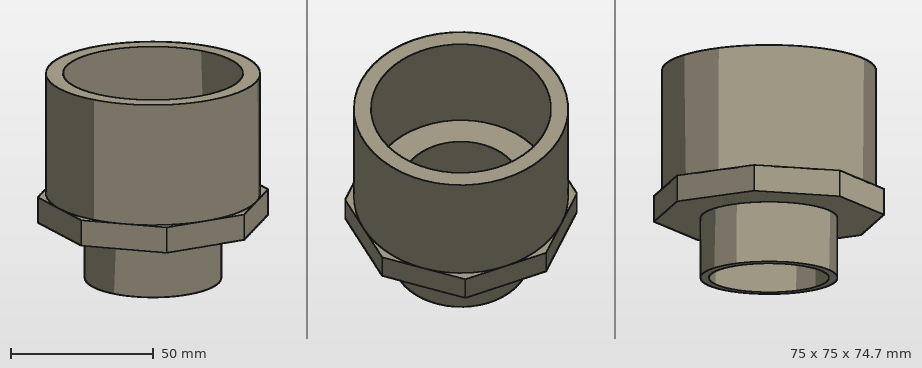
import cadquery as cq

total_height = 74.7
across_flats = 75.0

spigot_diameter = 48.0
spigot_length = 21.45
bore_diameter = 42.0

collar_sides = 8
collar_height = 9.3

socket_outer_diameter = across_flats
socket_inner_diameter = 63.0
socket_depth = 37.95


def make_cylinder(diameter, bottom, top):
    """Vertical cylinder on the Z axis between two heights."""
    return cq.Workplane("XY").workplane(offset=bottom).circle(diameter / 2).extrude(top - bottom)


def make_collar():
    """Octagonal prism with flats facing X and Y, sitting on the spigot."""
    return (
        cq.Workplane("XY")
        .workplane(offset=spigot_length)
        .polygon(collar_sides, across_flats, circumscribed=True)
        .extrude(collar_height)
    )


spigot = make_cylinder(spigot_diameter, 0, spigot_length)
socket = make_cylinder(socket_outer_diameter, spigot_length, total_height)
body = spigot.union(make_collar()).union(socket)

through_bore = make_cylinder(bore_diameter, 0, total_height)
socket_bore = make_cylinder(socket_inner_diameter, total_height - socket_depth, total_height)

result = body.cut(through_bore).cut(socket_bore)